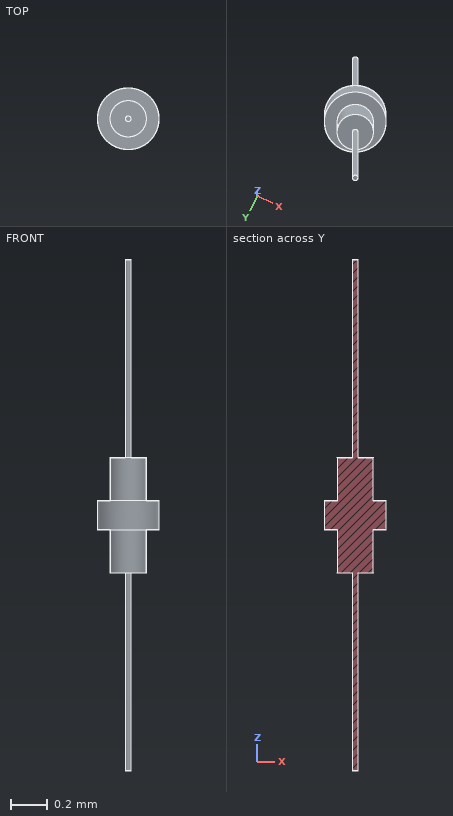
import cadquery as cq

total_length = 2.81
wire_diameter = 0.03
body_diameter = 0.2
body_length = 0.635
flange_diameter = 0.34
flange_thickness = 0.16


def centred_cylinder(diameter, length):
    """Cylinder on the Z axis, centred on the origin."""
    return cq.Workplane("XY").cylinder(length, diameter / 2)


wire = centred_cylinder(wire_diameter, total_length)
body = centred_cylinder(body_diameter, body_length)
flange = centred_cylinder(flange_diameter, flange_thickness)

result = flange.union(body).union(wire)